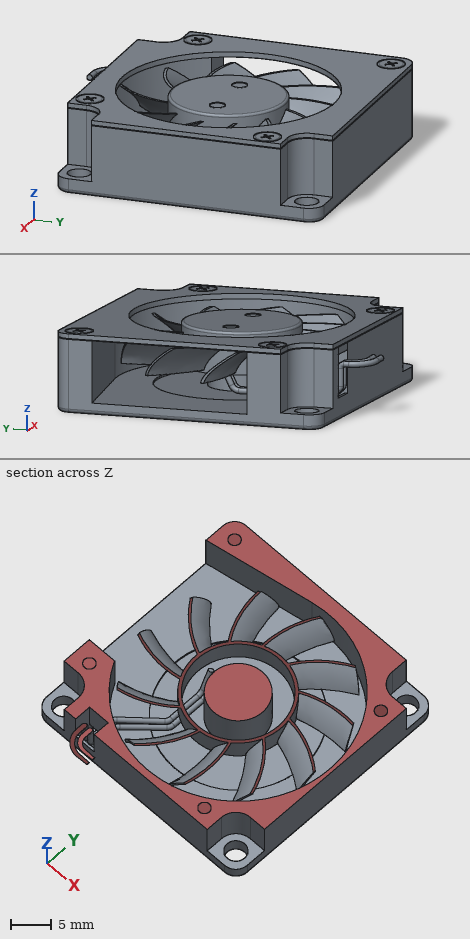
import cadquery as cq
import math

SIDE = 35.0
HEIGHT = 10.0
COVER_THICK = 0.7
FLOOR_TOP = 1.48
CORNER_RADIUS = 2.0
BOTTOM_FILLET = 0.5
COVER_SEAM_CHAMFER = 0.1

HALF = SIDE / 2
COVER_BOTTOM = HEIGHT - COVER_THICK

HOLE_OFFSET = 15.0
HOLE_DIA = 3.0
NOTCH_SIZE = 5.0
NOTCH_RADIUS = 2.53
EAR_THICK = 1.95
MOUNT_CORNERS = [(1, 1), (-1, -1), (1, -1)]

FAN_X = 1.0
FAN_Y = -0.5
INLET_DIA = 28.0
CAVITY_RADIUS = 15.95
OUTLET_Y_MIN = -8.0
OUTLET_Y_MAX = 12.45
RECESS_RADIUS = 11.0
RECESS_DEPTH = 0.25
RECESS_FLOOR = FLOOR_TOP - RECESS_DEPTH

HUB_RADIUS = 7.5
HUB_BORE_RADIUS = 7.0
HUB_BOTTOM = 3.93
HUB_TOP = 9.35
HUB_ROOF = 0.5
HUB_FILLET = 0.3
DIMPLE_DIA = 2.0
DIMPLE_OFFSET = 3.95
DIMPLE_DEPTH = 0.1
STATOR_DIA = 8.5

BLADE_COUNT = 11
BLADE_BOTTOM = 4.25
BLADE_TOP = 8.25
BLADE_THICK = 0.43
BLADE_TIP_RADIUS = 15.0
BLADE_ROOT_RADIUS = (HUB_RADIUS + HUB_BORE_RADIUS) / 2
BLADE_START_ANGLE = 94.5
BLADE_SWEEP = 1.542
ROOT_TWIST = 30.6
TWIST_FADE = 1.799
TWIST_POWER = 1.5
BLADE_SECTIONS = 5

SCREW_POSITIONS = [(-15.0, 15.0), (15.5, 10.0), (-15.0, -10.5), (10.0, -15.5)]
HEAD_DIA = 3.5
HEAD_TOP_DIA = 3.0
HEAD_THICK = 0.4
HEAD_CHAMFER_HEIGHT = 0.08
SHANK_DIA = 1.6
SHANK_LENGTH = 3.9
CROSS_LENGTH = 1.6
CROSS_WIDTH = 0.25
CROSS_DEPTH = 0.25

SLOT_X_MIN = -10.45
SLOT_X_MAX = -7.28
SLOT_BOTTOM = 2.88
SLOT_DEPTH = 2.45
TAB_HEIGHT = 0.95
SILL_THICK = 0.4

WIRE_COUNT = 2
WIRE_DIA = 0.75
WIRE_GAP = 0.05
WIRE_PITCH = 0.97
WIRE_STAGGER = 0.45
WIRE_REACH = 3.9
OUTER_WIRE_X = -9.05
OUTER_WIRE_Y = -HALF - WIRE_REACH + WIRE_DIA / 2
OUTER_BEND = 2.55
INNER_BEND = 1.15
SLOT_BEND = 0.5
WIRE_START_Y = 0.2
WIRE_START_Z = 5.05
WIRE_FLOOR_Y = -1.48
WIRE_TURN_Y = -7.8
WIRE_ALIGN_Y = -12.85
WIRE_TUNNEL_Z = 2.5
WIRE_SILL_Y = -15.75
WIRE_RISE_Y = -HALF + 0.25
WIRE_RISE_Z = 3.9
WIRE_EXIT_Z = 6.9
WIRE_BEND_Z = 7.0
WIRE_END_X = -4.82
WIRE_END_Z = 7.12


def block(x_min, x_max, y_min, y_max, z_min, z_max):
    size = (x_max - x_min, y_max - y_min, z_max - z_min)
    return cq.Workplane("XY").box(*size, centered=False).translate((x_min, y_min, z_min))


def cylinder(x, y, radius, z_min, z_max):
    return cq.Workplane("XY", origin=(x, y, z_min)).circle(radius).extrude(z_max - z_min)


def corner_notches(z_min):
    """Rounded notches above the mounting ears, from z_min up through the top."""
    inner = HALF - NOTCH_SIZE
    notch = block(inner, HALF, inner, HALF, z_min, HEIGHT)
    notch = notch.edges("|Z and <X and <Y").fillet(NOTCH_RADIUS)
    notches = cq.Workplane("XY")
    for sign_x, sign_y in MOUNT_CORNERS:
        turn = math.degrees(math.atan2(sign_y, sign_x)) - 45
        notches = notches.add(notch.rotate((0, 0, 0), (0, 0, 1), turn))
    return notches.combine()


def rounded_plate(z_min, z_max):
    return block(-HALF, HALF, -HALF, HALF, z_min, z_max).edges("|Z").fillet(CORNER_RADIUS)


def air_cavity():
    """Round rotor chamber with an outlet channel through the -X wall."""
    corner_x = -HALF - FAN_X
    corner_y = OUTLET_Y_MAX - FAN_Y
    corner_distance = math.hypot(corner_x, corner_y)
    tangent_angle = math.atan2(corner_y, corner_x) - math.acos(CAVITY_RADIUS / corner_distance)
    tangent_point = (
        FAN_X + CAVITY_RADIUS * math.cos(tangent_angle),
        FAN_Y + CAVITY_RADIUS * math.sin(tangent_angle),
    )
    outlet = (
        cq.Workplane("XY", origin=(0, 0, FLOOR_TOP))
        .moveTo(-HALF, OUTLET_Y_MIN)
        .lineTo(FAN_X, OUTLET_Y_MIN)
        .lineTo(FAN_X, FAN_Y)
        .lineTo(*tangent_point)
        .lineTo(-HALF, OUTLET_Y_MAX)
        .close()
        .extrude(COVER_BOTTOM - FLOOR_TOP)
    )
    chamber = cylinder(FAN_X, FAN_Y, CAVITY_RADIUS, FLOOR_TOP, COVER_BOTTOM)
    return chamber.union(outlet)


def cable_passage():
    """Slot in the -Y wall and the low tunnel that joins it to the chamber."""
    slot = block(SLOT_X_MIN, SLOT_X_MAX, -HALF, -HALF + SLOT_DEPTH, SLOT_BOTTOM, COVER_BOTTOM)
    tunnel = block(SLOT_X_MIN, SLOT_X_MAX, -HALF + SILL_THICK, FAN_Y - RECESS_RADIUS, FLOOR_TOP, SLOT_BOTTOM)
    return slot.union(tunnel)


def make_housing():
    housing = rounded_plate(0, COVER_BOTTOM).faces("<Z").edges().fillet(BOTTOM_FILLET)
    housing = housing.cut(corner_notches(EAR_THICK))
    housing = housing.cut(air_cavity())
    housing = housing.cut(cylinder(FAN_X, FAN_Y, RECESS_RADIUS, RECESS_FLOOR, FLOOR_TOP))
    housing = housing.cut(cable_passage())
    for sign_x, sign_y in MOUNT_CORNERS:
        housing = housing.cut(cylinder(sign_x * HOLE_OFFSET, sign_y * HOLE_OFFSET, HOLE_DIA / 2, 0, EAR_THICK))
    for x, y in SCREW_POSITIONS:
        housing = housing.cut(screw_envelope(x, y))
    return housing


def make_cover():
    cover = rounded_plate(COVER_BOTTOM, HEIGHT).cut(corner_notches(COVER_BOTTOM))
    cover = cover.faces("<Z").edges().chamfer(COVER_SEAM_CHAMFER)
    cover = cover.cut(cylinder(FAN_X, FAN_Y, INLET_DIA / 2, COVER_BOTTOM, HEIGHT))
    for x, y in SCREW_POSITIONS:
        cover = cover.cut(screw_envelope(x, y))
    tab = block(SLOT_X_MIN, SLOT_X_MAX, -HALF, -HALF + SLOT_DEPTH, COVER_BOTTOM - TAB_HEIGHT, COVER_BOTTOM)
    return cover.union(tab)


def screw_envelope(x, y):
    """Plain head and shank, which is also the shape of the screw's hole."""
    head_bottom = HEIGHT - HEAD_THICK
    head = cylinder(x, y, HEAD_DIA / 2, head_bottom, HEIGHT)
    return head.union(cylinder(x, y, SHANK_DIA / 2, head_bottom - SHANK_LENGTH, head_bottom))


def make_screw(x, y):
    rim = (HEAD_DIA - HEAD_TOP_DIA) / 2
    screw = screw_envelope(x, y).faces(">Z").edges().chamfer(HEAD_CHAMFER_HEIGHT, rim)
    for angle in (45, 135):
        arm = (
            cq.Workplane("XY", origin=(x, y, HEIGHT - CROSS_DEPTH))
            .transformed(rotate=(0, 0, angle))
            .rect(CROSS_LENGTH, CROSS_WIDTH)
            .extrude(CROSS_DEPTH)
        )
        screw = screw.cut(arm)
    return screw


def blade_point(radius, level, side):
    """Point on one side (+1 or -1) of the blade; level runs from 0 (bottom) to 1 (top)."""
    reach = radius - HUB_RADIUS
    twist = (ROOT_TWIST - TWIST_FADE * reach) * level ** TWIST_POWER
    angle = math.radians(BLADE_START_ANGLE - BLADE_SWEEP * reach + twist)
    angle += side * BLADE_THICK / 2 / radius
    return (radius * math.cos(angle), radius * math.sin(angle))


def make_blade():
    middle_radius = (BLADE_ROOT_RADIUS + BLADE_TIP_RADIUS) / 2
    sections = []
    for index in range(BLADE_SECTIONS):
        level = index / (BLADE_SECTIONS - 1)
        z = BLADE_BOTTOM + level * (BLADE_TOP - BLADE_BOTTOM)
        section = (
            cq.Workplane("XY", origin=(0, 0, z))
            .moveTo(*blade_point(BLADE_ROOT_RADIUS, level, 1))
            .threePointArc(blade_point(middle_radius, level, 1), blade_point(BLADE_TIP_RADIUS, level, 1))
            .lineTo(*blade_point(BLADE_TIP_RADIUS, level, -1))
            .threePointArc(blade_point(middle_radius, level, -1), blade_point(BLADE_ROOT_RADIUS, level, -1))
            .close()
        )
        sections.append(section.val())
    return cq.Solid.makeLoft(sections)


def make_rotor():
    rotor = cylinder(0, 0, HUB_RADIUS, HUB_BOTTOM, HUB_TOP).faces(">Z").edges().fillet(HUB_FILLET)
    blade = make_blade()
    for index in range(BLADE_COUNT):
        turned = blade.rotate(cq.Vector(0, 0, 0), cq.Vector(0, 0, 1), index * 360 / BLADE_COUNT)
        rotor = rotor.union(cq.Workplane(turned))
    rotor = rotor.cut(cylinder(0, 0, HUB_BORE_RADIUS, HUB_BOTTOM, HUB_TOP - HUB_ROOF))
    for x in (-DIMPLE_OFFSET, DIMPLE_OFFSET):
        rotor = rotor.cut(cylinder(x, 0, DIMPLE_DIA / 2, HUB_TOP - DIMPLE_DEPTH, HUB_TOP))
    return rotor.translate((FAN_X, FAN_Y, 0))


def make_stator():
    return cylinder(FAN_X, FAN_Y, STATOR_DIA / 2, RECESS_FLOOR, HUB_TOP - HUB_ROOF)


def rounded_path(start, bends, end):
    """Wire of straight runs joined by tangent arcs; each bend is (corner point, radius)."""
    corners = [cq.Vector(*start)] + [cq.Vector(*point) for point, _ in bends] + [cq.Vector(*end)]
    edges = []
    position = corners[0]
    for index, (_, radius) in enumerate(bends, start=1):
        corner = corners[index]
        back = (corners[index - 1] - corner).normalized()
        ahead = (corners[index + 1] - corner).normalized()
        half_angle = back.getAngle(ahead) / 2
        setback = radius / math.tan(half_angle)
        arc_start = corner + back * setback
        arc_end = corner + ahead * setback
        bisector = (back + ahead).normalized()
        arc_middle = corner + bisector * (radius / math.sin(half_angle) - radius)
        edges.append(cq.Edge.makeLine(position, arc_start))
        edges.append(cq.Edge.makeThreePointArc(arc_start, arc_middle, arc_end))
        position = arc_end
    edges.append(cq.Edge.makeLine(position, corners[-1]))
    return cq.Wire.assembleEdges(edges)


def make_wire(index):
    """Wire 0 is the outer one of the bend outside the fan, wire 1 the inner one."""
    outward = WIRE_COUNT - 1 - index
    clearance = WIRE_GAP + outward * (WIRE_DIA + WIRE_GAP)
    start_x = FAN_X - (STATOR_DIA + WIRE_DIA) / 2 - clearance
    slot_x = OUTER_WIRE_X + index * WIRE_PITCH
    end_y = OUTER_WIRE_Y + index * WIRE_PITCH
    floor_z = RECESS_FLOOR + WIRE_DIA / 2
    stagger = outward * WIRE_STAGGER
    start = (start_x, WIRE_START_Y, WIRE_START_Z)
    bends = [
        ((start_x, WIRE_FLOOR_Y, floor_z), INNER_BEND),
        ((start_x, WIRE_TURN_Y + stagger, floor_z), INNER_BEND),
        ((slot_x, WIRE_ALIGN_Y + stagger, WIRE_TUNNEL_Z), INNER_BEND),
        ((slot_x, WIRE_SILL_Y, WIRE_TUNNEL_Z), SLOT_BEND),
        ((slot_x, WIRE_RISE_Y, WIRE_RISE_Z), SLOT_BEND),
        ((slot_x, WIRE_RISE_Y, WIRE_EXIT_Z), SLOT_BEND),
        ((slot_x, end_y, WIRE_BEND_Z), OUTER_BEND - index * WIRE_PITCH),
    ]
    path = rounded_path(start, bends, (WIRE_END_X, end_y, WIRE_END_Z))
    profile_plane = cq.Plane(origin=start, normal=path.tangentAt(0).toTuple())
    return cq.Workplane(profile_plane).circle(WIRE_DIA / 2).sweep(cq.Workplane(path))


housing = make_housing()
cover = make_cover()
rotor = make_rotor()
stator = make_stator()
screws = [make_screw(x, y).val() for x, y in SCREW_POSITIONS]
wires = [make_wire(index).val() for index in range(WIRE_COUNT)]

result = cq.Compound.makeCompound(
    [housing.val(), cover.val(), rotor.val(), stator.val(), *screws, *wires]
)